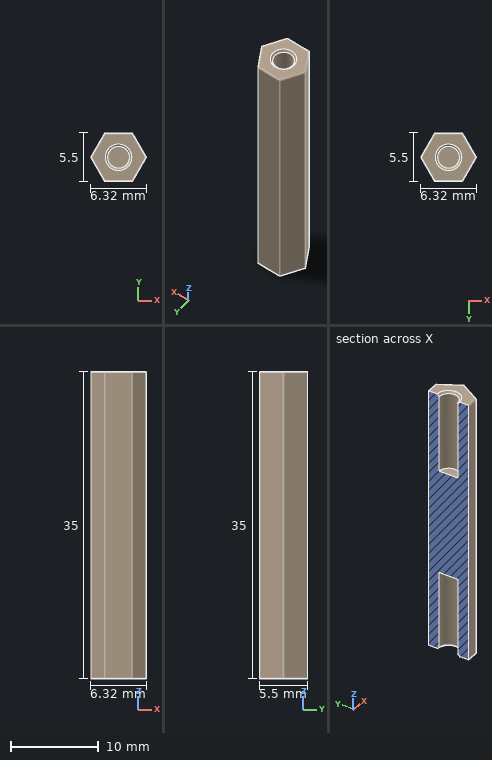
import cadquery as cq
import math

length = 35.0
across_flats = 5.5
across_corners = across_flats / math.cos(math.pi / 6)
edge_radius = 0.088
bore_diameter = 2.5
countersink_diameter = 3.0
countersink_depth = (countersink_diameter - bore_diameter) / 2
bore_depth = 10.5


def end_bore():
    """Blind bore with its countersink, entering the top face."""
    top_plane = cq.Workplane("XY").workplane(offset=length / 2)
    bore = top_plane.circle(bore_diameter / 2).extrude(-bore_depth)
    countersink = cq.Workplane(
        cq.Solid.makeCone(
            bore_diameter / 2,
            countersink_diameter / 2,
            countersink_depth,
            pnt=cq.Vector(0, 0, length / 2 - countersink_depth),
        )
    )
    return bore.union(countersink)


body = cq.Workplane("XY").polygon(6, across_corners).extrude(length / 2, both=True).edges().fillet(edge_radius)
top_bore = end_bore()
bottom_bore = top_bore.mirror("XY")
result = body.cut(top_bore).cut(bottom_bore)